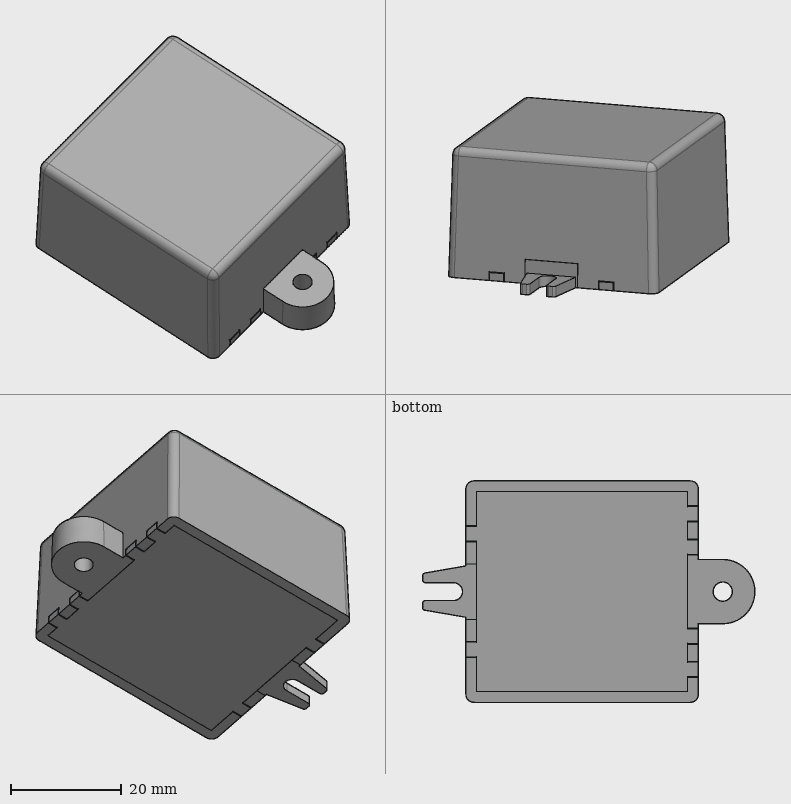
import cadquery as cq

HOUSING_LENGTH = 42.0
HOUSING_WIDTH = 40.0
HOUSING_HEIGHT = 24.0
DRAFT_ANGLE = 1.5
EDGE_RADIUS = 1.5
WALL = 2.0
HALF_LENGTH = HOUSING_LENGTH / 2

OVERALL_LENGTH = 60.0
FORK_REACH = 7.8
LUG_REACH = OVERALL_LENGTH - HOUSING_LENGTH - FORK_REACH
LUG_RADIUS = 5.8
LUG_HEIGHT = 6.65
LUG_HOLE_DIAMETER = 3.4
LUG_CENTER_X = HALF_LENGTH + LUG_REACH - LUG_RADIUS
LUG_ROOT_X = HALF_LENGTH - WALL

PAD_WIDTH = 10.0
PAD_HEIGHT = 4.5
FORK_THICKNESS = 2.0
FORK_ROOT_WIDTH = 9.3
FORK_TIP_WIDTH = 6.6
FORK_SLOT_WIDTH = 3.2
FORK_SLOT_DEPTH = 7.2
FORK_TIP_RADIUS = 0.55
FORK_ROOT_X = -HALF_LENGTH
FORK_TIP_X = FORK_ROOT_X - FORK_REACH

PLATE_THICKNESS = 1.5
PLATE_LENGTH = HOUSING_LENGTH - 2 * WALL
PLATE_WIDTH = HOUSING_WIDTH - 2 * WALL
TAB_WIDTH = 2.65
TAB_CLEARANCE = 0.15
FORK_END_TAB_Y = 10.45
LUG_END_TAB_YS = (8.05, 14.05)


def drafted(outline, height):
    """Extrude an outline upwards, its sides leaning in by the draft angle."""
    return outline.extrude(height, taper=DRAFT_ANGLE)


def bottom_block(length, width, height, x, y=0.0):
    """Plain block standing on the ground plane."""
    return cq.Workplane("XY").box(length, width, height, centered=(True, True, False)).translate((x, y, 0))


def make_lug():
    outline = (
        cq.Workplane("XY")
        .moveTo(LUG_ROOT_X, -LUG_RADIUS)
        .lineTo(LUG_CENTER_X, -LUG_RADIUS)
        .threePointArc((LUG_CENTER_X + LUG_RADIUS, 0), (LUG_CENTER_X, LUG_RADIUS))
        .lineTo(LUG_ROOT_X, LUG_RADIUS)
        .close()
    )
    hole = cq.Workplane("XY").center(LUG_CENTER_X, 0).circle(LUG_HOLE_DIAMETER / 2).extrude(LUG_HEIGHT)
    return drafted(outline, LUG_HEIGHT).cut(hole)


def make_tabs(clearance=0.0):
    """Tabs at both ends of the base plate, enlarged by the clearance at their sides and top."""
    tab_x = HALF_LENGTH - WALL / 2
    places = [(-tab_x, FORK_END_TAB_Y)]
    places += [(tab_x, tab_y) for tab_y in LUG_END_TAB_YS]
    width = TAB_WIDTH + 2 * clearance
    height = PLATE_THICKNESS + clearance
    tabs = cq.Workplane("XY")
    for x, y in places:
        tabs = tabs.add(bottom_block(WALL, width, height, x, y))
        tabs = tabs.add(bottom_block(WALL, width, height, x, -y))
    return tabs.combine()


def make_plate():
    return bottom_block(PLATE_LENGTH, PLATE_WIDTH, PLATE_THICKNESS, 0)


def make_pad():
    return bottom_block(WALL, PAD_WIDTH, PAD_HEIGHT, FORK_ROOT_X + WALL / 2)


def make_fork_clip():
    slot_radius = FORK_SLOT_WIDTH / 2
    slot_end_x = FORK_TIP_X + FORK_SLOT_DEPTH
    slot_center_x = slot_end_x - slot_radius
    fork = (
        cq.Workplane("XY")
        .moveTo(FORK_ROOT_X, -FORK_ROOT_WIDTH / 2)
        .lineTo(FORK_TIP_X, -FORK_TIP_WIDTH / 2)
        .lineTo(FORK_TIP_X, -slot_radius)
        .lineTo(slot_center_x, -slot_radius)
        .threePointArc((slot_end_x, 0), (slot_center_x, slot_radius))
        .lineTo(FORK_TIP_X, slot_radius)
        .lineTo(FORK_TIP_X, FORK_TIP_WIDTH / 2)
        .lineTo(FORK_ROOT_X, FORK_ROOT_WIDTH / 2)
        .close()
        .extrude(FORK_THICKNESS)
    )
    fork = fork.edges("|Z and <X").fillet(FORK_TIP_RADIUS)
    return make_pad().union(fork)


def make_base_plate():
    return make_plate().union(make_tabs())


def make_housing():
    box = drafted(cq.Workplane("XY").rect(HOUSING_LENGTH, HOUSING_WIDTH), HOUSING_HEIGHT)
    box = box.edges("not #Z").fillet(EDGE_RADIUS)
    box = box.faces(">Z").edges().fillet(EDGE_RADIUS)
    recess = make_plate().union(make_tabs(TAB_CLEARANCE))
    return box.union(make_lug()).cut(recess).cut(make_pad())


housing = make_housing()
base_plate = make_base_plate()
fork_clip = make_fork_clip()

result = cq.Compound.makeCompound([housing.val(), base_plate.val(), fork_clip.val()])